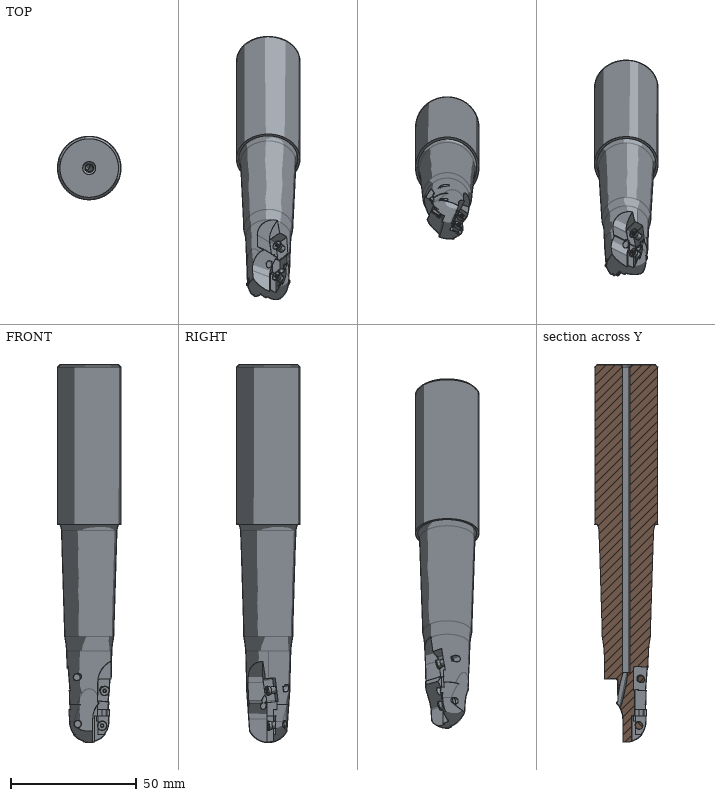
import cadquery as cq
import math


total_length = 151.1
shank_radius = 12.7
shank_chamfer = 1.0
shank_bottom = 87.2
flare_top_radius = 11.8
neck_top = 84.8
neck_top_radius = 11.1
flare_hollow = 0.15
blend_top = 42.4
blend_top_radius = 9.8
blend_bottom = 36.7
blend_bottom_radius = 9.05
blend_hollow = 0.1
step_height = 15.3
step_top_radius = 8.55
ball_radius = 8.4

bore_radius = 1.7
bore_bottom = 28.0
mouth_radius = 2.6
branch_radius = 1.15
branch_start = (0, 0, 29.5)
branch_exit = (3.05, -1.9, 14.8)
branch_overrun = 1.15

tip_rake_y = -0.5
tip_wall = 1.4
tip_arc_start = 9.4
tip_arc_radius = 9.4
tip_wall_turn = 12.0
tip_seat_inner = 2.2
tip_seat_top = 10.7
tip_seat_depth = 2.6
seat_step_inner = 3.6
seat_step_bottom = 3.2
seat_step_depth = 3.4
tip_screw_x = 5.2
tip_screw_z = 6.7
tip_screw_turn = 5.0
tip_screw_lean = 6.0
corner_groove_x = 3.65
corner_groove_radius = 0.75
corner_groove_bottom = 8.6

side_wall = 3.4
side_screw_x = 6.3
side_screw_z = 20.6
side_rake_y = -0.9
side_turn = 11.0
side_lean = 8.0
side_seat_length = 9.6
side_seat_depth = 3.9
side_seat_corner = 0.6
runout_radius = 9.5
runout_rise = 3.4
ramp_fall = 4.0
ramp_slope = 1.3
stagger = 4.5

clearance_inner = 3.4
clearance_step = 13.2
clearance_low_depth = 2.6
clearance_high_depth = 3.9
clearance_overlap = 0.9
clearance_groove_x = 6.1
clearance_groove_radius = 1.05

shaft_radius = 1.4
shaft_end = 6.8
head_radius = 1.85
head_top = 0.3
head_rim = 0.5
head_cone = 1.2
socket_sides = 6
socket_width = 1.4
socket_depth = 0.9

heel_radius = 10.5
heel_lean = 4.1
heel_top = 21.6
heel_top_y = -8.7
heel_reach = 4.0

outside = 14.0
long_reach = 30.0
overrun = 1.0


def turned(shape, angle):
    """Copy of a shape turned about the tool axis."""
    return shape.rotate((0, 0, 0), (0, 0, 1), angle)


def rake_plane(x, y, z, turn, lean):
    """Plane with its normal out of the rake face: -Y turned toward +X and dipped, local X outward."""
    turn_angle = math.radians(turn)
    lean_angle = math.radians(lean)
    level = math.cos(lean_angle)
    normal = cq.Vector(level * math.sin(turn_angle), -level * math.cos(turn_angle), -math.sin(lean_angle))
    outward = cq.Vector(0, 0, 1).cross(normal)
    return cq.Plane((x, y, z), outward, normal)


def tip_plane():
    return rake_plane(tip_screw_x, tip_rake_y, tip_screw_z, tip_screw_turn, tip_screw_lean)


def side_plane(lift):
    return rake_plane(side_screw_x, side_rake_y, side_screw_z + lift, side_turn, side_lean)


def block(x, y, z, width, depth, height):
    """Box from its corner with the smallest coordinates."""
    return cq.Workplane("XY").box(width, depth, height, centered=False).translate((x, y, z))


def upright(x, y, z, radius, height):
    """Vertical cylinder from the center of its lower end."""
    return cq.Workplane("XY", origin=(x, y, z)).circle(radius).extrude(height)


def make_blank():
    diagonal = ball_radius * math.sqrt(0.5)
    flare_middle = ((flare_top_radius + neck_top_radius) / 2 - flare_hollow, (shank_bottom + neck_top) / 2)
    blend_middle_radius = (blend_top_radius + blend_bottom_radius) / 2 - blend_hollow
    blend_middle = (blend_middle_radius, (blend_top + blend_bottom) / 2)
    return (
        cq.Workplane("XZ")
        .moveTo(0, 0)
        .threePointArc((diagonal, ball_radius - diagonal), (ball_radius, ball_radius))
        .lineTo(ball_radius, step_height)
        .lineTo(step_top_radius, step_height)
        .lineTo(blend_bottom_radius, blend_bottom)
        .threePointArc(blend_middle, (blend_top_radius, blend_top))
        .lineTo(neck_top_radius, neck_top)
        .threePointArc(flare_middle, (flare_top_radius, shank_bottom))
        .lineTo(shank_radius, shank_bottom)
        .lineTo(shank_radius, total_length - shank_chamfer)
        .lineTo(shank_radius - shank_chamfer, total_length)
        .lineTo(0, total_length)
        .close()
        .revolve(360, (0, 0, 0), (0, 1, 0))
    )


def coolant_bore():
    mouth_depth = mouth_radius - bore_radius
    bore = upright(0, 0, bore_bottom, bore_radius, total_length - bore_bottom)
    mouth = cq.Solid.makeCone(
        bore_radius, mouth_radius, mouth_depth, cq.Vector(0, 0, total_length - mouth_depth)
    )
    return bore.union(cq.Workplane(mouth))


def coolant_branch():
    start = cq.Vector(*branch_start)
    path = cq.Vector(*branch_exit) - start
    branch = cq.Workplane(cq.Plane(start, normal=path)).circle(branch_radius)
    return branch.extrude(path.Length * branch_overrun)


def tip_flute(wall_turn):
    """Chip space of the tip: a flat wall that curves outward at its upper end."""
    diagonal = tip_arc_radius * math.sqrt(0.5)
    arc_center = tip_wall + tip_arc_radius
    arc_end = tip_arc_start + tip_arc_radius
    wall_foot = cq.Vector(tip_wall, tip_rake_y, 0)
    square_flute = (
        cq.Workplane("XZ", origin=(0, outside, 0))
        .moveTo(tip_wall, -overrun)
        .lineTo(tip_wall, tip_arc_start)
        .threePointArc((arc_center - diagonal, tip_arc_start + diagonal), (arc_center, arc_end))
        .lineTo(outside, arc_end)
        .lineTo(outside, -overrun)
        .close()
        .extrude(2 * outside)
    )
    wall_head = wall_foot + cq.Vector(0, 0, 1)
    turned_flute = square_flute.rotate(wall_foot.toTuple(), wall_head.toTuple(), -wall_turn)
    in_front = block(-long_reach, tip_rake_y - long_reach, -overrun, 2 * long_reach, long_reach, long_reach)
    return turned_flute.intersect(in_front)


def side_flute(lift):
    """Chip space in front of the side seat: flat wall, curved run-out above and ramp below."""
    arc_start = side_screw_z + lift + runout_rise
    ramp_start = side_screw_z + lift - ramp_fall
    ramp_end = ramp_start - (outside - side_wall) * ramp_slope
    diagonal = runout_radius * math.sqrt(0.5)
    arc_center = side_wall + runout_radius
    arc_end = arc_start + runout_radius
    profile = (
        cq.Workplane("XZ", origin=(0, outside, 0))
        .moveTo(side_wall, ramp_start)
        .lineTo(side_wall, arc_start)
        .threePointArc((arc_center - diagonal, arc_start + diagonal), (arc_center, arc_end))
        .lineTo(outside, arc_end)
        .lineTo(outside, ramp_end)
        .close()
        .extrude(2 * outside)
    )
    in_front = cq.Workplane(side_plane(lift)).rect(2 * long_reach, 2 * long_reach).extrude(long_reach)
    return profile.intersect(in_front)


def tip_seat():
    """Seat with a shallow floor at the nose, a deeper one above it and a relieved inner corner."""
    floor = block(tip_seat_inner, tip_rake_y, -overrun, outside, tip_seat_depth, tip_seat_top + overrun)
    deep_height = tip_seat_top - seat_step_bottom
    deep_floor = block(seat_step_inner, tip_rake_y, seat_step_bottom, outside, seat_step_depth, deep_height)
    groove = upright(
        corner_groove_x,
        tip_rake_y + tip_seat_depth,
        corner_groove_bottom,
        corner_groove_radius,
        tip_seat_top - corner_groove_bottom,
    )
    return floor.union(deep_floor).union(groove)


def side_seat(lift):
    inner = side_wall - side_screw_x
    plane = side_plane(lift)
    return (
        cq.Workplane(plane)
        .center(inner + outside / 2, 0)
        .rect(outside, side_seat_length)
        .extrude(-side_seat_depth)
        .edges(cq.selectors.ParallelDirSelector(plane.zDir))
        .fillet(side_seat_corner)
    )


def seat_clearance(lift):
    """Stepped gap joining the top of the tip seat to the bottom of the side seat."""
    top = side_screw_z + lift - side_seat_length / 2 + clearance_overlap
    low_height = clearance_step - tip_seat_top
    high_height = top - clearance_step
    low = block(clearance_inner, tip_rake_y, tip_seat_top, outside, clearance_low_depth, low_height)
    high = block(clearance_inner, tip_rake_y, clearance_step, outside, clearance_high_depth, high_height)
    groove_y = tip_rake_y + clearance_low_depth
    groove = upright(clearance_groove_x, groove_y, tip_seat_top, clearance_groove_radius, low_height)
    return low.union(high).union(groove)


def heel_relief():
    """Space outside a leaning cylinder that is wider than the nose, on the -Y side."""
    around = cq.Workplane("XY").circle(2 * outside).circle(heel_radius).extrude(-long_reach)
    leaning = around.translate((0, heel_radius, 0)).rotate((0, 0, 0), (1, 0, 0), heel_lean)
    leaning = leaning.translate((0, heel_top_y, heel_top))
    back_depth = 2 * outside - heel_reach
    back_side = block(-outside, -2 * outside, heel_top - long_reach, 2 * outside, back_depth, long_reach)
    return leaning.intersect(back_side)


def screw_hole(plane):
    return cq.Workplane(plane).circle(shaft_radius).extrude(-outside)


def make_screw(plane):
    cone_top = head_top + head_rim
    cone_bottom = cone_top + head_cone
    profile = (
        cq.Workplane("XZ")
        .moveTo(0, -head_top)
        .lineTo(head_radius, -head_top)
        .lineTo(head_radius, -cone_top)
        .lineTo(shaft_radius, -cone_bottom)
        .lineTo(shaft_radius, -shaft_end)
        .lineTo(0, -shaft_end)
        .close()
    )
    screw = profile.revolve(360, (0, 0, 0), (0, 1, 0))
    socket = cq.Workplane("XY", origin=(0, 0, -head_top)).polygon(socket_sides, socket_width)
    socket = socket.extrude(-socket_depth)
    return cq.Workplane(screw.cut(socket).val().moved(cq.Location(plane)))


holder = make_blank().cut(coolant_bore())
screws = []
for turn, lift, wall_turn in ((0, 0, 0), (180, stagger, tip_wall_turn)):
    flute_cuts = [
        heel_relief(),
        tip_flute(wall_turn),
        side_flute(lift),
        tip_seat(),
        side_seat(lift),
        seat_clearance(lift),
        coolant_branch(),
        screw_hole(tip_plane()),
        screw_hole(side_plane(lift)),
    ]
    for cut in flute_cuts:
        holder = holder.cut(turned(cut, turn))
    for plane in (tip_plane(), side_plane(lift)):
        screws.append(turned(make_screw(plane), turn))

result = cq.Compound.makeCompound([holder.val(), *[screw.val() for screw in screws]])